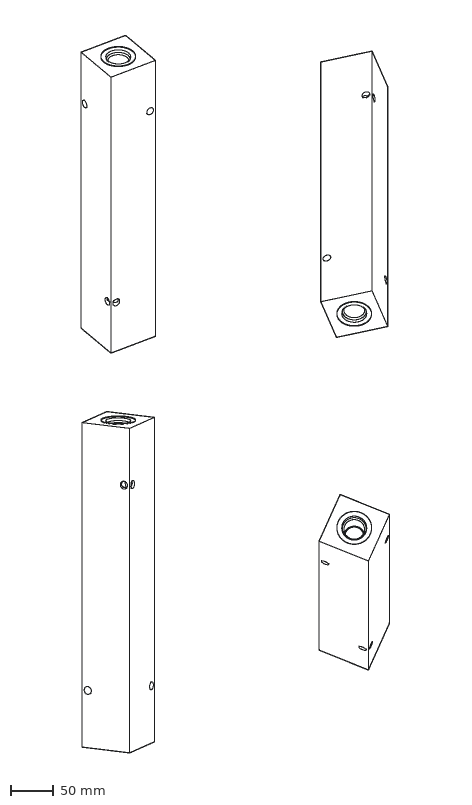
import cadquery as cq

side = 63.5
length = 393.7

spotface_diameter = 41.0
spotface_depth = 1.0
seat_mouth_diameter = 29.5
seat_throat_diameter = 28.0
seat_depth = 3.0
chamfer_depth = 2.0
port_bore_diameter = 24.5
port_bore_depth = 23.5

main_bore_diameter = 22.0

cross_hole_diameter = 9.5
cross_hole_offset = 24.0
cross_hole_height = 127.0


def end_port():
    """Everything removed at the top end, as a solid of revolution about Z."""
    top = length / 2
    spotface_floor = top - spotface_depth
    seat_floor = spotface_floor - seat_depth
    chamfer_floor = seat_floor - chamfer_depth
    port_floor = chamfer_floor - port_bore_depth
    return (
        cq.Workplane("XZ")
        .moveTo(0, top)
        .lineTo(spotface_diameter / 2, top)
        .lineTo(spotface_diameter / 2, spotface_floor)
        .lineTo(seat_mouth_diameter / 2, spotface_floor)
        .lineTo(seat_throat_diameter / 2, seat_floor)
        .lineTo(port_bore_diameter / 2, chamfer_floor)
        .lineTo(port_bore_diameter / 2, port_floor)
        .lineTo(0, port_floor)
        .close()
        .revolve(360, (0, 0, 0), (0, 1, 0))
    )


def cross_holes(plane, high_side):
    """Two through holes: the high one near the edge on high_side (+1 or -1), the low one opposite."""
    high = (high_side * cross_hole_offset, cross_hole_height)
    low = (-high_side * cross_hole_offset, -cross_hole_height)
    return (
        cq.Workplane(plane)
        .pushPoints([high, low])
        .circle(cross_hole_diameter / 2)
        .extrude(side, both=True)
    )


block = cq.Workplane("XY").box(side, side, length)
main_bore = cq.Workplane("XY").circle(main_bore_diameter / 2).extrude(length, both=True)
top_port = end_port()
bottom_port = top_port.mirror("XY")
holes_along_y = cross_holes("XZ", -1)
holes_along_x = cross_holes("YZ", 1)

result = block.cut(main_bore)
for port in (top_port, bottom_port):
    result = result.cut(port)
for holes in (holes_along_y, holes_along_x):
    result = result.cut(holes)